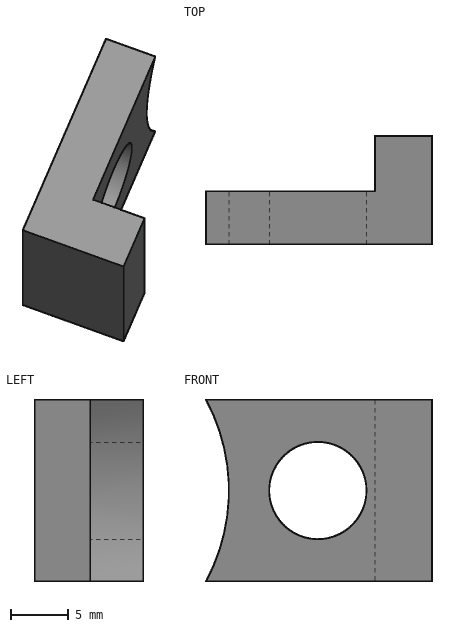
import cadquery as cq

length = 19.8
depth = 9.5
height = 15.9
plate_thickness = 4.65
lip_width = 5.0
hole_diameter = 8.5
hole_x = 9.8
concave_depth = 2.0

half_height = height / 2


def make_plate():
    """Plate whose -X end is a concave arc; front face on Y = 0."""
    profile = (
        cq.Workplane("XZ")
        .moveTo(0, half_height)
        .lineTo(length, half_height)
        .lineTo(length, -half_height)
        .lineTo(0, -half_height)
        .threePointArc((concave_depth, 0), (0, half_height))
        .close()
    )
    return profile.extrude(-plate_thickness)


def make_lip():
    """Full-height block at the +X end, reaching behind the plate."""
    return cq.Workplane("XY").box(
        lip_width, depth, height, centered=(False, False, True)
    ).translate((length - lip_width, 0, 0))


def make_hole():
    """Round cutter through the plate along Y, centred in height."""
    return (
        cq.Workplane("XZ")
        .center(hole_x, 0)
        .circle(hole_diameter / 2)
        .extrude(-plate_thickness)
    )


result = make_plate().union(make_lip()).cut(make_hole())